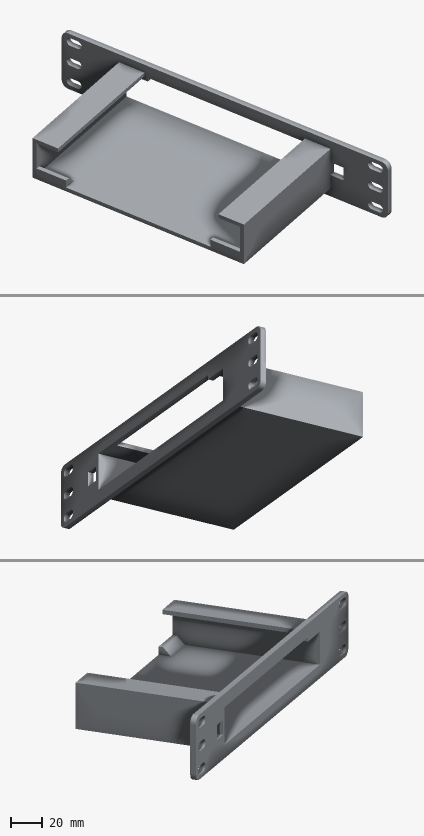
import cadquery as cq


total_width = 254.0
panel_height = 44.5
panel_thickness = 4.0
corner_radius = 5.0

joint_x = 95.2
dovetail_depth = 4.8
dovetail_root_half_height = 8.6
dovetail_tip_half_height = 15.0

slot_length = 11.7
slot_height = 6.0
slot_pitch = 16.0
slot_count = 3
slot_x = 117.3

total_depth = 102.5
tray_depth = total_depth - panel_thickness
tray_width = 164.5
tray_height = 31.8
wall = 3.0
flange_width = 19.8
tray_inner_width = tray_width - 2 * wall
tray_inner_height = tray_height - 2 * wall

lug_length = 26.2
lug_height = 8.6
lug_top_depth = 3.0
lug_base_depth = lug_top_depth + lug_height

tab_width = 19.3
tab_height = 3.0
square_hole_size = 10.2


def block(x_start, x_end, y_start, y_end, z_start, z_end):
    """Box given by its limits along each axis."""
    size = (x_end - x_start, y_end - y_start, z_end - z_start)
    return cq.Workplane("XY").box(*size, centered=False).translate((x_start, y_start, z_start))


def extrude_panel(sketch):
    """Extrude an XZ outline through the thickness of the panel, toward +Y."""
    return sketch.extrude(-panel_thickness)


def make_panel_blank():
    """Full-width plate with rounded corners."""
    plate = extrude_panel(cq.Workplane("XZ").rect(total_width, panel_height))
    return plate.edges("|Y").fillet(corner_radius)


def make_panel_core():
    """Middle part of the plate, with a dovetail at each end."""
    half_height = panel_height / 2
    tip_x = joint_x + dovetail_depth
    right_end = [
        (joint_x, -half_height),
        (joint_x, -dovetail_root_half_height),
        (tip_x, -dovetail_tip_half_height),
        (tip_x, dovetail_tip_half_height),
        (joint_x, dovetail_root_half_height),
        (joint_x, half_height),
    ]
    left_end = [(-x, -z) for x, z in right_end]
    return extrude_panel(cq.Workplane("XZ").polyline(right_end + left_end).close())


def make_ear(side):
    """Slotted ear with a dovetail socket; side is -1 (left) or +1 (right)."""
    outer_half = block(0, total_width, 0, panel_thickness, -panel_height, panel_height)
    if side < 0:
        outer_half = outer_half.mirror("YZ")
    slots = extrude_panel(
        cq.Workplane("XZ")
        .center(side * slot_x, 0)
        .rarray(2.5, slot_pitch, 1, slot_count)
        .slot2D(slot_length, slot_height)
    )
    return make_panel_blank().intersect(outer_half).cut(make_panel_core()).cut(slots)


def make_panel():
    """Panel core with the tray window, its corner tab and the square hole."""
    window = extrude_panel(cq.Workplane("XZ").rect(tray_inner_width, tray_inner_height))
    tab = block(
        -tray_inner_width / 2, -tray_inner_width / 2 + tab_width,
        0, panel_thickness,
        tray_inner_height / 2 - tab_height, tray_inner_height / 2,
    )
    square_hole = extrude_panel(
        cq.Workplane("XZ")
        .center((tray_width + square_hole_size) / 2, 0)
        .rect(square_hole_size, square_hole_size)
    )
    return make_panel_core().cut(window.cut(tab)).cut(square_hole)


def make_tray_channel():
    """Floor, two side walls and two inward top flanges, open at both ends."""
    outer = cq.Workplane("XZ").rect(tray_width, tray_height).extrude(tray_depth)
    inner = cq.Workplane("XZ").rect(tray_inner_width, tray_inner_height).extrude(tray_depth)
    top_gap_half = tray_width / 2 - flange_width
    top_gap = block(-top_gap_half, top_gap_half, -tray_depth, 0, 0, tray_height / 2)
    return outer.cut(inner).cut(top_gap)


def make_lug(side):
    """Ramped stop in a bottom corner of the open end of the tray."""
    end_y = -tray_depth
    base_z = -tray_height / 2
    profile = [
        (end_y, base_z),
        (end_y + lug_base_depth, base_z),
        (end_y + lug_top_depth, base_z + lug_height),
        (end_y, base_z + lug_height),
    ]
    lug = cq.Workplane("YZ").polyline(profile).close().extrude(lug_length)
    lug = lug.translate((-tray_width / 2, 0, 0))
    return lug if side < 0 else lug.mirror("YZ")


def make_shelf():
    """Panel core and tray as one solid."""
    shelf = make_panel().union(make_tray_channel())
    for side in (-1, 1):
        shelf = shelf.union(make_lug(side))
    return shelf


shelf = make_shelf()
ears = [make_ear(side) for side in (-1, 1)]

result = cq.Compound.makeCompound([shelf.val(), *[ear.val() for ear in ears]])